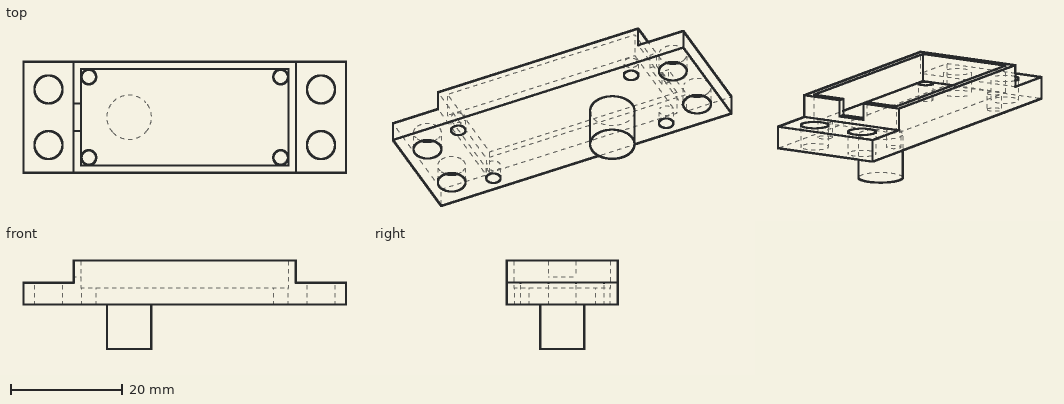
import cadquery as cq

plate_length = 58.0
width = 20.0
plate_thickness = 4.0

tray_length = 40.0
tray_top = 8.0
wall = 1.3
pocket_depth = 5.0
pocket_length = tray_length - 2 * wall
pocket_width = width - 2 * wall

notch_width = 5.0
notch_depth = 3.0

flange_hole_diameter = 5.0
flange_hole_spacing_y = 10.0
flange_hole_spacing_x = (plate_length + tray_length) / 2

corner_hole_diameter = 2.6
corner_hole_inset = 1.45

peg_diameter = 8.0
peg_length = 8.0
peg_x = -10.0


def block(length, breadth, bottom, top, center_x=0.0):
    """Box centred on Y = 0, spanning Z from bottom to top."""
    box = cq.Workplane("XY").box(length, breadth, top - bottom, centered=(True, True, False))
    return box.translate((center_x, 0, bottom))


def hole_pattern(spacing_x, spacing_y, diameter):
    """Four vertical cutters at the corners of a rectangle, as tall as plate and tray."""
    centers = cq.Workplane("XY").rect(spacing_x, spacing_y, forConstruction=True).vertices()
    return centers.circle(diameter / 2).extrude(tray_top)


def make_body():
    plate = block(plate_length, width, 0, plate_thickness)
    tray = block(tray_length, width, 0, tray_top)
    peg = cq.Workplane("XY").center(peg_x, 0).circle(peg_diameter / 2).extrude(-peg_length)
    return plate.union(tray).union(peg)


def make_pocket():
    return block(pocket_length, pocket_width, tray_top - pocket_depth, tray_top)


def make_notch():
    wall_center_x = -(tray_length - wall) / 2
    return block(wall, notch_width, tray_top - notch_depth, tray_top, wall_center_x)


flange_holes = hole_pattern(flange_hole_spacing_x, flange_hole_spacing_y, flange_hole_diameter)
corner_holes = hole_pattern(
    pocket_length - 2 * corner_hole_inset,
    pocket_width - 2 * corner_hole_inset,
    corner_hole_diameter,
)

result = make_body().cut(make_pocket()).cut(make_notch()).cut(flange_holes).cut(corner_holes)